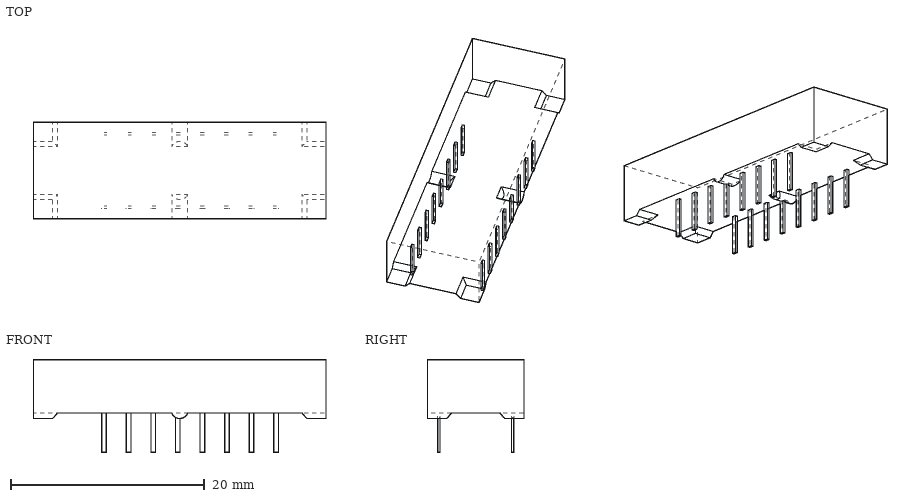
import cadquery as cq

length = 30.26
width = 10.0
overall_height = 9.6
pin_drop = 3.5
body_height = overall_height - pin_drop

relief_depth = 0.55
foot_size = 2.0
foot_slope_run = 0.5

bump_chord = 1.64
bump_radius = ((bump_chord / 2) ** 2 + relief_depth**2) / (2 * relief_depth)

pins_per_row = 8
row_count = 2
pin_pitch = 2.54
row_spacing = 7.62
pin_width = 0.5
pin_thickness = 0.25
pin_group_x = 1.07


def flared_channel(plane, side_to_side, end_to_end):
    """Channel with sloped flanks between two feet, running the way the plane faces."""
    half_mouth = side_to_side / 2 - foot_size
    half_floor = half_mouth - foot_slope_run
    return (
        cq.Workplane(plane)
        .moveTo(-half_mouth, 0)
        .lineTo(-half_floor, relief_depth)
        .lineTo(half_floor, relief_depth)
        .lineTo(half_mouth, 0)
        .close()
        .extrude(end_to_end / 2, both=True)
    )


def make_bump():
    """Cylinder along Y whose lower side forms the rounded middle feet."""
    return (
        cq.Workplane("XZ")
        .center(0, bump_radius)
        .circle(bump_radius)
        .extrude(width / 2, both=True)
    )


def make_housing():
    block = cq.Workplane("XY").box(length, width, body_height, centered=(True, True, False))
    crosswise = flared_channel("XZ", length, width).cut(make_bump())
    lengthwise = flared_channel("YZ", width, length)
    return block.cut(crosswise).cut(lengthwise)


def make_pins():
    """All pins, running from the relieved underside down to the tips."""
    return (
        cq.Workplane("XY")
        .workplane(offset=-pin_drop)
        .center(pin_group_x, 0)
        .rarray(pin_pitch, row_spacing, pins_per_row, row_count)
        .rect(pin_width, pin_thickness)
        .extrude(pin_drop + relief_depth)
    )


result = make_housing().union(make_pins())